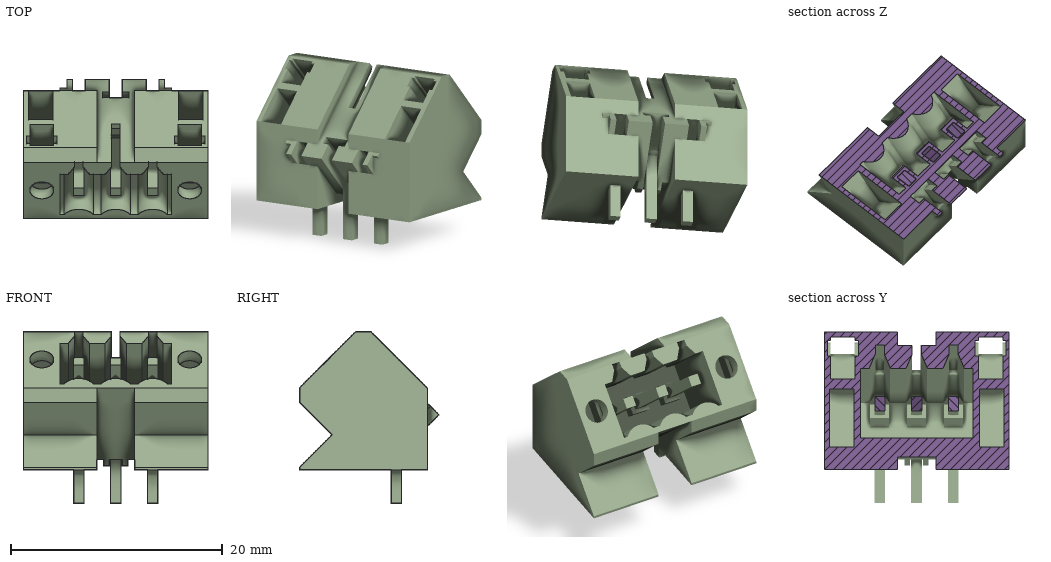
import cadquery as cq
import math

ROOT2 = math.sqrt(2)

WIDTH = 17.45
HEIGHT = 13.05
BACK_Y = 12.1
REAR_OVERHANG = 1.06
FRONT_EDGE_Z = 7.75
TOP_BACK_Y = 6.74
NOTCH_TOP_Z = 6.35
NOTCH_BOTTOM_Z = 0.25
MATE_EDGE_Y = HEIGHT - FRONT_EDGE_Z

PITCH = 3.49
CONTACT_XS = [-PITCH, 0, PITCH]
PIN_SIZE = 1.0
PIN_DROP = 3.93
PIN_TIP_INSET = 0.03
PIN_LEG_Y = 9.15
PIN_LENGTH_BELOW = 3.18

HEADER_DROP = MATE_EDGE_Y * ROOT2
HEADER_REAR = (BACK_Y + REAR_OVERHANG - MATE_EDGE_Y) * ROOT2
BODY_REAR = 9.96
BODY_BOTTOM_Z = 0.96
HEADER_HALF_WIDTH = 5.27
CENTRE_GAP = 3.55

POCKET_DEPTH = 8.0
POCKET_TOP_DROP = 1.57
POCKET_BOTTOM_DROP = 6.96
RIDGE_RADIUS = 1.71
RIDGE_CREST_DROP = 6.25
GROOVE_MOUTH = 1.99
GROOVE_TOP_DROP = 0.6
KEY_SLOT_WIDTH = 0.8
KEY_SLOT_DEPTH = 5.15
BOSS_SIZE = 1.78
BOSS_LENGTH = 1.25

RIB_GAP = 1.19
RIB_WIDTH = 0.54
RIB_BOTTOM_Z = 0.37
TEE_WIDTH = 2.5
TEE_FRONT = 8.67
TEE_BACK = 9.44

SCREW_X = 6.98
SCREW_DROP = 3.72
SCREW_DIAMETER = 2.25
NUT_POCKET_FRONT = 1.3
NUT_POCKET_BACK = 4.07
NUT_SLOT_WIDTH = 2.88
NUT_SLOT_FRONT = 1.5
NUT_SLOT_BACK = 2.53
NUT_FLOOR_DROP = 6.8
HOLLOW_X = 7.08
HOLLOW_WIDTH = 2.3
HOLLOW_FRONT = 4.75

OPEN_ABOVE = -1.75

MATING_PLANE = cq.Plane(origin=(0, MATE_EDGE_Y, HEIGHT), xDir=(1, 0, 0), normal=(0, -1, 1))


def block(x_centre, width, drop, depth):
    """Box aligned with the mating face; drop and depth are (start, end) pairs."""
    start_plane = cq.Workplane(MATING_PLANE).workplane(offset=-depth[0])
    face = start_plane.center(x_centre, -sum(drop) / 2).rect(width, drop[1] - drop[0])
    return face.extrude(depth[0] - depth[1])


def above(z, shape):
    """Part of the shape above height z."""
    size = 3 * WIDTH
    return shape.intersect(cq.Workplane("XY").workplane(offset=z).rect(size, size).extrude(size))


def leg(side):
    """Side portion of the housing, with the V notch under the mating face."""
    notch_depth = (NOTCH_TOP_Z - NOTCH_BOTTOM_Z) / 2
    outline = [
        (0, 0),
        (BACK_Y, 0),
        (BACK_Y, HEIGHT - BACK_Y + TOP_BACK_Y),
        (TOP_BACK_Y, HEIGHT),
        (MATE_EDGE_Y, HEIGHT),
        (0, FRONT_EDGE_Z),
        (0, NOTCH_TOP_Z),
        (notch_depth, NOTCH_TOP_Z - notch_depth),
        (0, NOTCH_BOTTOM_Z),
    ]
    thickness = (WIDTH - CENTRE_GAP) / 2
    start = CENTRE_GAP / 2 if side > 0 else -WIDTH / 2
    return cq.Workplane("YZ").workplane(offset=start).polyline(outline).close().extrude(thickness)


def header():
    """Turned block joining the legs, with the ribs that stand behind it."""
    full_drop = (0, HEADER_DROP)
    shape = above(BODY_BOTTOM_Z, block(0, 2 * HEADER_HALF_WIDTH, full_drop, (0, BODY_REAR)))
    bridge_width = PITCH - RIB_GAP
    rib_offset = (RIB_GAP + RIB_WIDTH) / 2
    for side in (-1, 1):
        bridge = block(side * PITCH / 2, bridge_width, full_drop, (TEE_BACK, HEADER_REAR))
        shape = shape.union(above(BODY_BOTTOM_Z, bridge))
    for x in CONTACT_XS:
        for side in (-1, 1):
            rib = block(x + side * rib_offset, RIB_WIDTH, full_drop, (TEE_BACK, HEADER_REAR))
            shape = shape.union(above(RIB_BOTTOM_Z, rib))
    return shape


def contact_ridge(x):
    """Rounded ridge along the lower wall of the pocket."""
    axis_drop = RIDGE_CREST_DROP + RIDGE_RADIUS
    return cq.Workplane(MATING_PLANE).center(x, -axis_drop).circle(RIDGE_RADIUS).extrude(-POCKET_DEPTH)


def contact_groove(x):
    """Tapered groove in the upper wall of the pocket."""
    half_mouth = GROOVE_MOUTH / 2
    half_top = KEY_SLOT_WIDTH / 2
    outline = [
        (x - half_mouth, -POCKET_TOP_DROP),
        (x - half_top, -GROOVE_TOP_DROP),
        (x + half_top, -GROOVE_TOP_DROP),
        (x + half_mouth, -POCKET_TOP_DROP),
    ]
    return cq.Workplane(MATING_PLANE).polyline(outline).close().extrude(-POCKET_DEPTH)


def mating_pocket():
    """Hollow that receives the plug; the ridges and bosses are left standing in it."""
    hollow = block(0, 2 * HEADER_HALF_WIDTH, (POCKET_TOP_DROP, POCKET_BOTTOM_DROP), (0, POCKET_DEPTH))
    boss_drop = (PIN_DROP - BOSS_SIZE / 2, PIN_DROP + BOSS_SIZE / 2)
    for x in CONTACT_XS:
        hollow = hollow.cut(contact_ridge(x))
        hollow = hollow.cut(block(x, BOSS_SIZE, boss_drop, (POCKET_DEPTH - BOSS_LENGTH, POCKET_DEPTH)))
        hollow = hollow.union(contact_groove(x))
        hollow = hollow.union(block(x, KEY_SLOT_WIDTH, (0, GROOVE_TOP_DROP), (0, KEY_SLOT_DEPTH)))
    return hollow


def tee_slot(x):
    """T-shaped slot behind a contact, open at the rear and reaching down to the top of the pin."""
    drop = (0, PIN_DROP - PIN_SIZE / 2)
    head = block(x, TEE_WIDTH, drop, (TEE_FRONT, TEE_BACK))
    return head.union(block(x, RIB_GAP, drop, (TEE_BACK, HEADER_REAR)))


def screw_cut(side):
    """Screw hole and the nut pocket that crosses it from the rear slope."""
    x = side * SCREW_X
    hole = (
        cq.Workplane(MATING_PLANE)
        .center(x, -SCREW_DROP)
        .circle(SCREW_DIAMETER / 2)
        .extrude(-NUT_POCKET_FRONT)
    )
    drop = (OPEN_ABOVE, NUT_FLOOR_DROP)
    pocket = block(x, SCREW_DIAMETER, drop, (NUT_POCKET_FRONT, NUT_POCKET_BACK))
    slot = block(x, NUT_SLOT_WIDTH, drop, (NUT_SLOT_FRONT, NUT_SLOT_BACK))
    return hole.union(pocket).union(slot)


def rear_hollow(side):
    """Hollow from the rear slope whose back side starts at the slope's lower edge."""
    hollow_back = (2 * BACK_Y - TOP_BACK_Y - MATE_EDGE_Y) / ROOT2
    return block(side * HOLLOW_X, HOLLOW_WIDTH, (OPEN_ABOVE, NUT_FLOOR_DROP), (HOLLOW_FRONT, hollow_back))


def pin(x):
    """Square pin: a 45 degree contact bent into a vertical solder leg."""
    half = PIN_SIZE / 2
    reach = half * ROOT2
    axis_sum = MATE_EDGE_Y + HEIGHT - PIN_DROP * ROOT2
    tip_difference = HEIGHT - MATE_EDGE_Y - PIN_TIP_INSET * ROOT2
    upper_sum = axis_sum + reach
    lower_sum = axis_sum - reach
    leg_front = PIN_LEG_Y - half
    leg_back = PIN_LEG_Y + half
    outline = [
        ((lower_sum - tip_difference) / 2, (lower_sum + tip_difference) / 2),
        ((upper_sum - tip_difference) / 2, (upper_sum + tip_difference) / 2),
        (leg_back, upper_sum - leg_back),
        (leg_back, -PIN_LENGTH_BELOW),
        (leg_front, -PIN_LENGTH_BELOW),
        (leg_front, lower_sum - leg_front),
    ]
    return cq.Workplane("YZ").workplane(offset=x - half).polyline(outline).close().extrude(PIN_SIZE)


def build_housing(contact_pins):
    """Header and legs in one piece, with every hollow and a matching hole for each pin."""
    body = header().union(leg(-1)).union(leg(1))
    body = body.cut(mating_pocket())
    for x in CONTACT_XS:
        body = body.cut(tee_slot(x))
    for side in (-1, 1):
        body = body.cut(screw_cut(side)).cut(rear_hollow(side))
    for contact_pin in contact_pins:
        body = body.cut(contact_pin)
    return body


pins = [pin(x) for x in CONTACT_XS]
housing = build_housing(pins)

result = cq.Compound.makeCompound([housing.val(), *[contact_pin.val() for contact_pin in pins]])